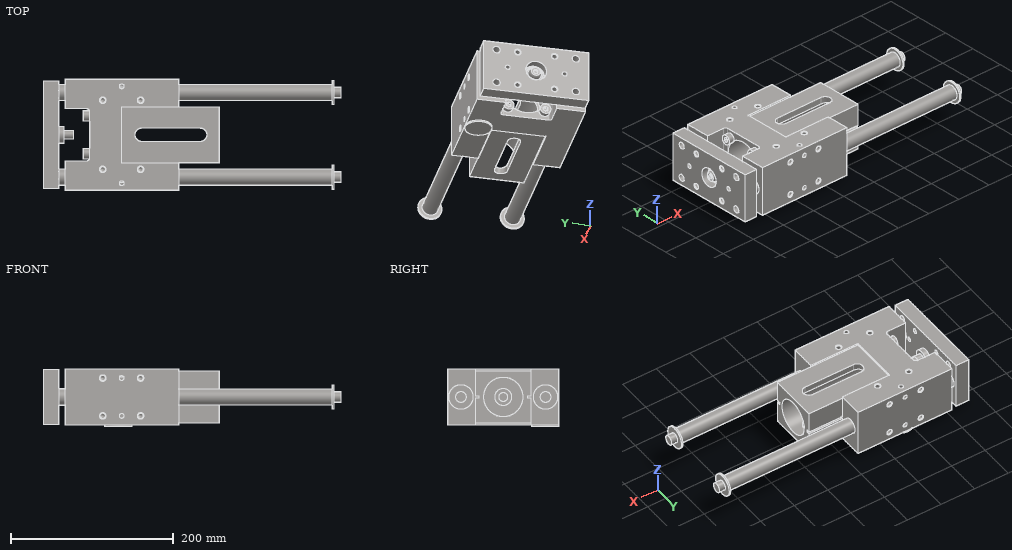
import cadquery as cq
import math


total_length = 366.0
total_height = 71.0

housing_front = 26.7
housing_length = 139.8
housing_width = 137.0
cap_diameter = 33.5
cap_height = 2.0
cap_center_x = 92.2
housing_height = total_height - cap_height
housing_back = housing_front + housing_length
recess_depth = 30.0
recess_width = 64.0
recess_corner_radius = 3.5
recess_floor = housing_front + recess_depth
front_bore_diameter = 55.0
rear_bore_diameter = 48.3

block_front = 96.3
block_back = 216.3
block_width = 68.8
block_height = 64.5
slot_start = 112.7
slot_end = 201.0
slot_width = 16.0
side_groove_height = 3.0
side_groove_depth = 4.5

hole_spacing = 46.5
pattern_center_x = block_front
top_hole_spacing_y = 85.0
top_pin_spacing_y = 119.0
thread_diameter = 6.5
thread_mouth_diameter = 8.0
thread_depth = 15.0
drill_tip_angle = 118.0
pin_hole_diameter = 6.0
pin_hole_depth = 10.0

screw_head_diameter = 13.0
screw_head_height = 7.7
screw_socket_width = 6.0
screw_socket_depth = 4.0

plate_thickness = 19.0
plate_width = 132.5
plate_height = 68.0
rod_spacing = 104.0
rod_diameter = 20.0
collar_diameter = 30.0
collar_start = 355.0
collar_thickness = 2.2
stud_diameter = 13.0
plate_screw_spacing_y = 100.0
plate_screw_diameter = 9.0
plate_pin_spacing_y = 71.7

coupling_recess_diameter = 26.0
coupling_recess_depth = 12.0
boss_diameter = 21.0
boss_length = 6.5
stub_diameter = 11.0
stub_end = 37.5
ball_front = 2.2
ball_diameter = 17.0
ball_flat_diameter = 11.0
ball_socket_diameter = 6.0
ball_socket_depth = 3.0


def box(x_start, x_end, width, height):
    """Box centred on the unit axis."""
    return cq.Workplane("XY").box(x_end - x_start, width, height, centered=(False, True, True)).translate(
        (x_start, 0, 0)
    )


def cylinder_x(diameter, x_start, x_end, y=0.0, z=0.0):
    """Cylinder along X, centred at the given Y and Z."""
    length = x_end - x_start
    return cq.Workplane("YZ", origin=(x_start, y, z)).circle(diameter / 2).extrude(length)


def grid(spacing_a, spacing_b):
    """Four centred points on the corners of a rectangle."""
    return [(a * spacing_a / 2, b * spacing_b / 2) for a in (-1, 1) for b in (-1, 1)]


def pair(spacing):
    """Signed offsets of two symmetric features."""
    return (-spacing / 2, spacing / 2)


def mouth_chamfer(point, direction):
    """Conical lead-in of a threaded hole."""
    depth = (thread_mouth_diameter - thread_diameter) / 2
    return cq.Solid.makeCone(
        thread_mouth_diameter / 2, thread_diameter / 2, depth, cq.Vector(*point), cq.Vector(*direction)
    )


def threaded_hole(point, direction):
    """Blind threaded hole with a lead-in and a drill tip, going from the point along the direction."""
    radius = thread_diameter / 2
    tip_length = radius / math.tan(math.radians(drill_tip_angle / 2))
    start = cq.Vector(*point)
    axis = cq.Vector(*direction)
    shank = cq.Solid.makeCylinder(radius, thread_depth, start, axis)
    tip = cq.Solid.makeCone(radius, 0, tip_length, start + axis * thread_depth, axis)
    return shank.fuse(tip).fuse(mouth_chamfer(point, direction))


def pin_hole(point, direction):
    """Blind flat-bottomed dowel hole."""
    return cq.Solid.makeCylinder(pin_hole_diameter / 2, pin_hole_depth, cq.Vector(*point), cq.Vector(*direction))


def socket_screw_head(y, z):
    """Screw head standing on the recess floor, with a hexagon socket."""
    head_front = recess_floor - screw_head_height
    head = cylinder_x(screw_head_diameter, head_front, recess_floor, y, z)
    socket = (
        cq.Workplane("YZ", origin=(head_front, y, z))
        .polygon(6, screw_socket_width, circumscribed=True)
        .extrude(screw_socket_depth)
    )
    return head.cut(socket)


def make_housing():
    body = box(housing_front, housing_back, housing_width, housing_height)

    recess = box(housing_front, recess_floor, recess_width, housing_height)
    recess = recess.edges("|Z and >X").fillet(recess_corner_radius)
    body = body.cut(recess)

    body = body.cut(box(block_front, housing_back, block_width, housing_height))
    body = body.union(box(block_front, block_back, block_width, block_height))
    body = body.cut(cylinder_x(front_bore_diameter, recess_floor, block_front))
    body = body.cut(cylinder_x(rear_bore_diameter, block_front, block_back))
    slot = (
        cq.Workplane("XY", origin=((slot_start + slot_end) / 2, 0, 0))
        .slot2D(slot_end - slot_start, slot_width)
        .extrude(block_height / 2, both=True)
    )
    body = body.cut(slot)

    groove_band = box(housing_back, block_back, block_width, side_groove_height)
    groove_core = box(housing_back, block_back, block_width - 2 * side_groove_depth, side_groove_height)
    body = body.cut(groove_band.cut(groove_core))

    for y in pair(rod_spacing):
        body = body.cut(cylinder_x(rod_diameter, housing_front, housing_back, y))

    top = housing_height / 2
    for x, y in grid(hole_spacing, top_hole_spacing_y):
        body = body.cut(cq.Workplane(threaded_hole((pattern_center_x + x, y, top), (0, 0, -1))))
    for y in pair(top_pin_spacing_y):
        body = body.cut(cq.Workplane(pin_hole((pattern_center_x, y, top), (0, 0, -1))))

    for side in (-1, 1):
        face_y = side * housing_width / 2
        inward = (0, -side, 0)
        for x, z in grid(hole_spacing, hole_spacing):
            body = body.cut(cq.Workplane(threaded_hole((pattern_center_x + x, face_y, z), inward)))
        for z in pair(hole_spacing):
            body = body.cut(cq.Workplane(pin_hole((pattern_center_x, face_y, z), inward)))

    for y, z in grid(hole_spacing, hole_spacing):
        body = body.union(socket_screw_head(y, z))

    cap = (
        cq.Workplane("XY", origin=(cap_center_x, (housing_width - cap_diameter) / 2, -housing_height / 2))
        .circle(cap_diameter / 2)
        .extrude(-cap_height)
    )
    return body.union(cap)


def make_carriage():
    body = box(0, plate_thickness, plate_width, plate_height)

    for y, z in grid(plate_screw_spacing_y, hole_spacing):
        body = body.cut(cylinder_x(plate_screw_diameter, 0, plate_thickness, y, z))
    for y, z in grid(hole_spacing, hole_spacing):
        body = body.cut(cylinder_x(thread_diameter, 0, plate_thickness, y, z))
        body = body.cut(cq.Workplane(mouth_chamfer((0, y, z), (1, 0, 0))))
    for y in pair(plate_pin_spacing_y):
        body = body.cut(cylinder_x(pin_hole_diameter, 0, plate_thickness, y))

    for y in pair(rod_spacing):
        body = body.union(cylinder_x(rod_diameter, plate_thickness, collar_start, y))
        body = body.union(cylinder_x(collar_diameter, collar_start, collar_start + collar_thickness, y))
        body = body.union(cylinder_x(stud_diameter, collar_start + collar_thickness, total_length, y))

    boss_end = plate_thickness + boss_length
    body = body.union(cylinder_x(boss_diameter, plate_thickness, boss_end))
    body = body.union(cylinder_x(stub_diameter, boss_end, stub_end))

    body = body.cut(cylinder_x(coupling_recess_diameter, 0, coupling_recess_depth))
    ball_radius = ball_diameter / 2
    flat_radius = ball_flat_diameter / 2
    ball_center = ball_front + math.sqrt(ball_radius**2 - flat_radius**2)
    ball = cq.Workplane("XY").sphere(ball_radius).translate((ball_center, 0, 0))
    dome = ball.intersect(box(ball_front, ball_center, ball_diameter, ball_diameter))
    body = body.union(cylinder_x(boss_diameter, ball_center, coupling_recess_depth))
    body = body.union(dome)
    return body.cut(cylinder_x(ball_socket_diameter, ball_front, ball_front + ball_socket_depth))


housing = make_housing()
carriage = make_carriage()

result = cq.Compound.makeCompound([housing.val(), carriage.val()])